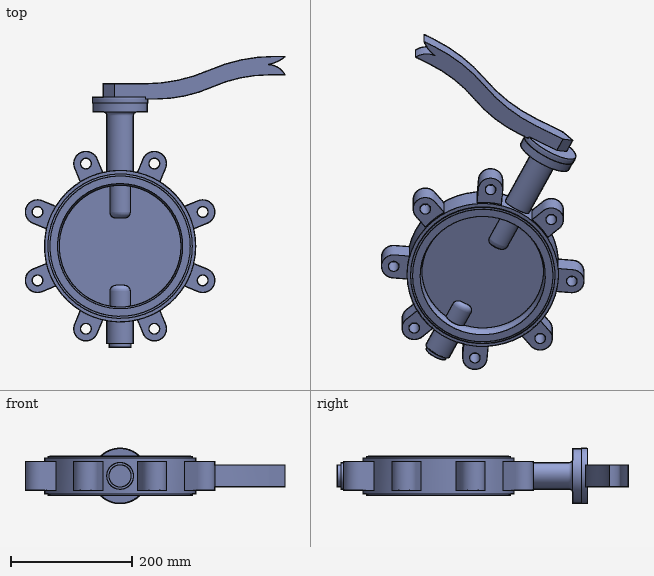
import cadquery as cq


RING_RADIUS = 125.0
RING_HALF_HEIGHT = 30.0
SHOULDER_RADIUS = 119.0
SHOULDER_HALF_HEIGHT = 32.0
FACE_RADIUS = 116.0
FACE_HALF_HEIGHT = 32.5
MOUTH_RADIUS = 103.5
THROAT_RADIUS = 100.5
THROAT_HALF_HEIGHT = 20.0
DISC_HALF_THICKNESS = 7.0

LUG_COUNT = 8
LUG_CIRCLE_RADIUS = 147.5
LUG_RADIUS = 20.0
LUG_HALF_HEIGHT = 24.0
LUG_HOLE_RADIUS = 8.5
LUG_ROOT_RADIUS = 115.5

NECK_RADIUS = 22.0
SHAFT_RADIUS = 18.3
NECK_ROOT_Y = 115.5
LOWER_NECK_END_Y = -161.0
LOWER_SHAFT_END_Y = -167.0
UPPER_STUB_TIP_Y = 46.0
LOWER_STUB_TIP_Y = -64.5
STUB_FILLET = 9.5

FLANGE_RADIUS = 45.0
FLANGE_BOTTOM_Y = 221.5
FLANGE_TOP_Y = 236.0
FLANGE_FILLET = 6.2

PLATE_DIAMETER = 92.0
PLATE_RADIUS = PLATE_DIAMETER / 2
PLATE_TOP_Y = 246.0
PLATE_TAPER_HEIGHT = 3.5
PLATE_TAPER_DEPTH = 0.5
LEVER_BOTTOM_Y = PLATE_TOP_Y - PLATE_TAPER_HEIGHT
LEVER_HALF_WIDTH = 18.3
LEVER_APEX_X = -28.0
LEVER_TOP_Y = 268.0
LEVER_END_X = 272.5
TOP_BEND = (40.5, 254.5)
TOP_BEND_RISE = 45.0
BOTTOM_BEND = (58.5, 246.0)
BOTTOM_BEND_RISE = 40.0
NOTCH_TIP = (245.0, 300.0)
NOTCH_LOWER_MID = (259.0, 296.0)
NOTCH_UPPER_MID = (259.0, 304.0)
PRONG_TIP_THICKNESS = 0.5


def stem_cylinder(radius, y_start, y_end):
    """Cylinder on the stem axis from y_start up to y_end."""
    return cq.Workplane("XZ", origin=(0, y_start, 0)).circle(radius).extrude(y_start - y_end)


def centred_disc(radius, half_height, x=0):
    """Cylinder parallel to the bore axis, centred on the plane Z = 0."""
    return cq.Workplane("XY").center(x, 0).circle(radius).extrude(half_height, both=True)


def ring():
    """Round body of the housing, stepped up to a sealing face on both sides."""
    body = centred_disc(RING_RADIUS, RING_HALF_HEIGHT)
    shoulders = centred_disc(SHOULDER_RADIUS, SHOULDER_HALF_HEIGHT)
    faces = centred_disc(FACE_RADIUS, FACE_HALF_HEIGHT)
    return body.union(shoulders).union(faces)


def lug():
    """One rounded lug along +X."""
    length = LUG_CIRCLE_RADIUS - LUG_ROOT_RADIUS
    arm = (
        cq.Workplane("XY")
        .center(LUG_ROOT_RADIUS + length / 2, 0)
        .rect(length, 2 * LUG_RADIUS)
        .extrude(LUG_HALF_HEIGHT, both=True)
    )
    end = centred_disc(LUG_RADIUS, LUG_HALF_HEIGHT, LUG_CIRCLE_RADIUS)
    hole = centred_disc(LUG_HOLE_RADIUS, LUG_HALF_HEIGHT, LUG_CIRCLE_RADIUS)
    return arm.union(end).cut(hole)


def upper_neck():
    """Neck with the top flange, revolved about the stem axis."""
    return (
        cq.Workplane("XY")
        .moveTo(0, NECK_ROOT_Y)
        .lineTo(NECK_RADIUS, NECK_ROOT_Y)
        .lineTo(NECK_RADIUS, FLANGE_BOTTOM_Y - FLANGE_FILLET)
        .radiusArc((NECK_RADIUS + FLANGE_FILLET, FLANGE_BOTTOM_Y), FLANGE_FILLET)
        .lineTo(FLANGE_RADIUS, FLANGE_BOTTOM_Y)
        .lineTo(FLANGE_RADIUS, FLANGE_TOP_Y)
        .lineTo(0, FLANGE_TOP_Y)
        .close()
        .revolve(360, (0, 0, 0), (0, 1, 0))
    )


def bore():
    """Bore that narrows from both sealing faces to a straight throat."""
    return (
        cq.Workplane("XZ")
        .moveTo(0, -FACE_HALF_HEIGHT)
        .lineTo(MOUTH_RADIUS, -FACE_HALF_HEIGHT)
        .lineTo(THROAT_RADIUS, -THROAT_HALF_HEIGHT)
        .lineTo(THROAT_RADIUS, THROAT_HALF_HEIGHT)
        .lineTo(MOUTH_RADIUS, FACE_HALF_HEIGHT)
        .lineTo(0, FACE_HALF_HEIGHT)
        .close()
        .revolve(360, (0, 0, 0), (0, 1, 0))
    )


def make_housing():
    """Ring, lugs, necks, disc and shaft ends."""
    housing = ring()
    for i in range(LUG_COUNT):
        angle = (i + 0.5) * 360 / LUG_COUNT
        housing = housing.union(lug().rotate((0, 0, 0), (0, 0, 1), angle))
    housing = housing.union(upper_neck())
    housing = housing.union(stem_cylinder(NECK_RADIUS, LOWER_NECK_END_Y, -NECK_ROOT_Y))
    housing = housing.union(stem_cylinder(SHAFT_RADIUS, LOWER_SHAFT_END_Y, LOWER_NECK_END_Y))
    housing = housing.cut(bore())

    disc = centred_disc(THROAT_RADIUS, DISC_HALF_THICKNESS)
    upper_stub = stem_cylinder(SHAFT_RADIUS, UPPER_STUB_TIP_Y, NECK_ROOT_Y)
    upper_stub = upper_stub.faces("<Y").edges().fillet(STUB_FILLET)
    lower_stub = stem_cylinder(SHAFT_RADIUS, -NECK_ROOT_Y, LOWER_STUB_TIP_Y)
    lower_stub = lower_stub.faces(">Y").edges().fillet(STUB_FILLET)
    return housing.union(disc).union(upper_stub).union(lower_stub)


def bend_radius(x_range, rise):
    """Radius of an S-bend of two equal arcs that starts and ends parallel to X."""
    run = x_range[1] - x_range[0]
    return (run ** 2 + rise ** 2) / (4 * rise)


def lever_plate():
    """Round plate that carries the lever, tapered along its top edge."""
    return (
        cq.Workplane("XY")
        .moveTo(0, FLANGE_TOP_Y)
        .lineTo(PLATE_RADIUS, FLANGE_TOP_Y)
        .lineTo(PLATE_RADIUS, PLATE_TOP_Y - PLATE_TAPER_HEIGHT)
        .lineTo(PLATE_RADIUS - PLATE_TAPER_DEPTH, PLATE_TOP_Y)
        .lineTo(0, PLATE_TOP_Y)
        .close()
        .revolve(360, (0, 0, 0), (0, 1, 0))
    )


def make_lever():
    """S-bent lever with a pointed back end, a notched tip and a round plate below."""
    top_end_y = LEVER_TOP_Y + TOP_BEND_RISE
    bottom_end_y = LEVER_BOTTOM_Y + BOTTOM_BEND_RISE
    top_radius = bend_radius(TOP_BEND, TOP_BEND_RISE)
    bottom_radius = bend_radius(BOTTOM_BEND, BOTTOM_BEND_RISE)
    top_middle = (sum(TOP_BEND) / 2, LEVER_TOP_Y + TOP_BEND_RISE / 2)
    bottom_middle = (sum(BOTTOM_BEND) / 2, LEVER_BOTTOM_Y + BOTTOM_BEND_RISE / 2)
    lever = (
        cq.Workplane("XY")
        .moveTo(LEVER_APEX_X, LEVER_BOTTOM_Y)
        .lineTo(BOTTOM_BEND[0], LEVER_BOTTOM_Y)
        .radiusArc(bottom_middle, -bottom_radius)
        .radiusArc((BOTTOM_BEND[1], bottom_end_y), bottom_radius)
        .lineTo(LEVER_END_X, bottom_end_y)
        .threePointArc(NOTCH_LOWER_MID, NOTCH_TIP)
        .threePointArc(NOTCH_UPPER_MID, (LEVER_END_X, top_end_y - PRONG_TIP_THICKNESS))
        .lineTo(LEVER_END_X, top_end_y)
        .lineTo(TOP_BEND[1], top_end_y)
        .radiusArc(top_middle, -top_radius)
        .radiusArc((TOP_BEND[0], LEVER_TOP_Y), top_radius)
        .lineTo(LEVER_APEX_X, LEVER_TOP_Y)
        .close()
        .extrude(LEVER_HALF_WIDTH, both=True)
    )
    corner_x = LEVER_APEX_X + LEVER_HALF_WIDTH
    for side in (1, -1):
        corner = (
            cq.Workplane("XZ", origin=(0, LEVER_BOTTOM_Y, 0))
            .moveTo(LEVER_APEX_X, 0)
            .lineTo(corner_x, side * LEVER_HALF_WIDTH)
            .lineTo(LEVER_APEX_X, side * LEVER_HALF_WIDTH)
            .close()
            .extrude(LEVER_BOTTOM_Y - LEVER_TOP_Y)
        )
        lever = lever.cut(corner)
    return lever.union(lever_plate())


housing = make_housing()
lever = make_lever()
result = cq.Compound.makeCompound([housing.val(), lever.val()])